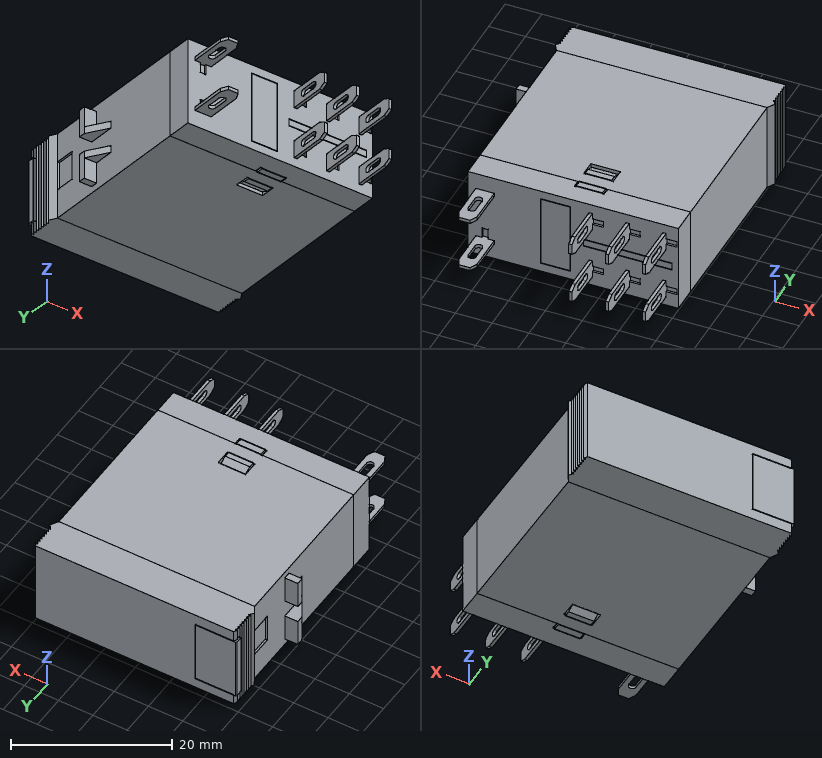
import cadquery as cq


width = 28.6
thickness = 12.5
base_height = 3.7
case_top = 27.0
cap_top = 32.2
half_width = width / 2
half_thickness = thickness / 2

wall = 0.65
plug_top = 8.2
snap_x = 1.0
window_width = 4.0
window_bottom = 5.5
window_top = 7.65
hook_gap = 0.2
hook_width = window_width - 2 * hook_gap
hook_crest = 6.35
hook_nose = 0.3
proud = 0.1
pad_length = 1.0
groove_depth = 0.3

latch_reach = 1.9
latch_top = 19.9
latch_bar_height = 1.0
latch_wedge_height = 3.0
latch_inner_z = 1.3
latch_length = 4.0
latch_wedge_thickness = 1.0
side_recess_height = 3.0
side_recess_width = 4.1
side_recess_depth = 0.3

grip_overhang = 0.61
grip_apex = 28.05
tooth_count = 7
tooth_pitch = 0.51
first_step = 31.7
tooth_peak = 0.45
tooth_valley = 0.15

lens_length = 6.0
lens_drop = 1.0
lens_width = 9.3
lens_chamfer = 0.15

blade_length = 6.25
blade_width = 2.5
blade_tip_width = 1.5
blade_tip_length = 1.0
eye_length = 3.0
eye_width = 1.0
eye_y = -2.95
row_z = 3.7
coil_x = -11.95
coil_thickness = 0.5
contact_xs = (2.4, 7.4, 12.4)
contact_thickness = 0.45
relief_width = 0.85
relief_reach = 1.7
relief_depth = 0.3

panel_x = -2.4
panel_size = (4.0, 10.0)
barrier_x = 7.4
barrier_size = (12.0, 1.0)
mark_depth = 0.1


def block(x_range, y_range, z_range):
    """Box between two limits along each axis."""
    size = [high - low for low, high in (x_range, y_range, z_range)]
    corner = (x_range[0], y_range[0], z_range[0])
    return cq.Workplane("XY").box(*size, centered=False).translate(corner)


def around(middle, size):
    """Limits of a span of the given size about its middle."""
    return (middle - size / 2, middle + size / 2)


def both_faces(shape):
    """The shape together with its mirror image on the -Z side."""
    return shape.union(shape.mirror("XY"))


def make_latch():
    """Bar with a tapering wedge below it, on the upper half of the -X side."""
    bar_bottom = latch_top - latch_bar_height
    bar = block(
        (-half_width - latch_reach, -half_width),
        (bar_bottom, latch_top),
        (latch_inner_z, latch_inner_z + latch_length),
    )
    wedge = (
        cq.Workplane("XY", origin=(-half_width, bar_bottom, latch_inner_z))
        .polyline([(0, 0), (-latch_reach, 0), (0, -latch_wedge_height)])
        .close()
        .extrude(latch_wedge_thickness)
    )
    return bar.union(wedge)


def plug_block():
    """Part of the base that fills the open end of the case."""
    return block(
        (-half_width + wall, half_width - wall),
        (base_height, plug_top),
        (-half_thickness + wall, half_thickness - wall),
    )


def make_case():
    case = block(
        (-half_width, half_width),
        (base_height, case_top),
        (-half_thickness, half_thickness),
    )
    case = case.cut(plug_block())
    window = block(
        around(snap_x, window_width),
        (window_bottom, window_top),
        (half_thickness - wall, half_thickness),
    )
    side_recess = block(
        (-half_width, -half_width + side_recess_depth),
        (case_top - side_recess_height, case_top),
        around(0, side_recess_width),
    )
    case = case.cut(both_faces(window)).cut(side_recess)
    return case.union(make_latch()).union(make_latch().mirror("XY"))


def make_snap_hook():
    """Ramped hook on the +Z side of the plug, reaching through the case window."""
    root = half_thickness - wall
    crest = half_thickness + proud
    profile = [
        (window_bottom, root),
        (window_bottom, crest),
        (hook_crest, crest),
        (window_top - hook_gap, root + hook_nose),
        (window_top - hook_gap, root),
    ]
    return (
        cq.Workplane("YZ", origin=(snap_x - hook_width / 2, 0, 0))
        .polyline(profile)
        .close()
        .extrude(hook_width)
    )


def make_blade(blade_thickness):
    """Flat terminal in the XY plane, centred on X = 0 and Z = 0, pointing to -Y."""
    shoulder = -blade_length + blade_tip_length
    outline = [
        (-blade_width / 2, relief_depth),
        (-blade_width / 2, shoulder),
        (-blade_tip_width / 2, -blade_length),
        (blade_tip_width / 2, -blade_length),
        (blade_width / 2, shoulder),
        (blade_width / 2, relief_depth),
    ]
    blade = cq.Workplane("XY").polyline(outline).close().extrude(blade_thickness / 2, both=True)
    eye = (
        cq.Workplane("XY")
        .center(0, eye_y)
        .slot2D(eye_length, eye_width, 90)
        .extrude(blade_thickness, both=True)
    )
    return blade.cut(eye)


def make_base():
    """Base with its plug, snap hooks and terminal blades."""
    base = block((-half_width, half_width), (0, base_height), (-half_thickness, half_thickness))

    pad_range = (base_height - pad_length, base_height)
    groove = block(
        around(snap_x, window_width), pad_range, (half_thickness - groove_depth, half_thickness)
    )
    pad = block(
        around(snap_x, hook_width), pad_range, (half_thickness - groove_depth, half_thickness + proud)
    )
    base = base.cut(both_faces(groove)).union(both_faces(pad))
    base = base.union(plug_block()).union(both_faces(make_snap_hook()))

    for middle_x, (size_x, size_z) in ((panel_x, panel_size), (barrier_x, barrier_size)):
        base = base.cut(block(around(middle_x, size_x), (0, mark_depth), around(0, size_z)))

    coil_blade = make_blade(coil_thickness)
    contact_blade = make_blade(contact_thickness).rotate((0, 0, 0), (0, 1, 0), 90)
    for side in (-1, 1):
        z = side * row_z
        relief_z = sorted((z, z - side * relief_reach))
        base = base.cut(block(around(coil_x, relief_width), (0, relief_depth), relief_z))
        base = base.union(coil_blade.translate((coil_x, 0, z)))
        for x in contact_xs:
            base = base.cut(block((x, x + relief_reach), (0, relief_depth), around(z, relief_width)))
            base = base.union(contact_blade.translate((x, 0, z)))
    return base


def make_lens():
    """Block seated in the -X corner of the cap, standing slightly proud of its top."""
    left = -half_width - grip_overhang
    lens = block(
        (left, left + lens_length),
        (cap_top - lens_drop, cap_top + proud),
        around(0, lens_width),
    )
    return lens.edges("<X and >Y").chamfer(lens_chamfer)


def grip_points():
    """Sawtooth outline of the +X grip, from the seam up to the top of the cap."""
    points = [(half_width, case_top), (half_width + grip_overhang, grip_apex)]
    for index in reversed(range(tooth_count)):
        step_y = first_step - index * tooth_pitch
        points.append((half_width + tooth_valley, step_y))
        points.append((half_width + tooth_peak, step_y))
    points.append((half_width + tooth_valley, cap_top))
    return points


def make_cap():
    right = grip_points()
    left = [(-x, y) for x, y in reversed(right)]
    cap = cq.Workplane("XY").polyline(right + left).close().extrude(half_thickness, both=True)
    return cap.cut(make_lens())


case = make_case()
base = make_base()
cap = make_cap()
lens = make_lens()

result = cq.Compound.makeCompound([case.val(), base.val(), cap.val(), lens.val()])